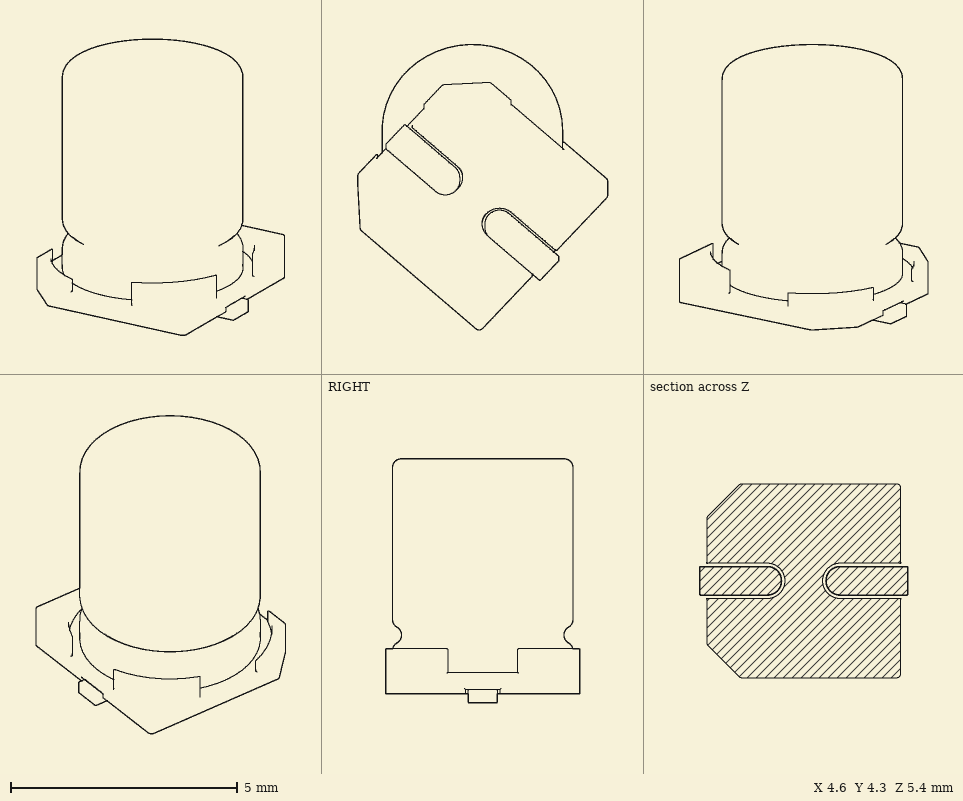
import cadquery as cq
import math

total_height = 5.4
terminal_span = 4.6
base_width = 4.3

can_radius = 2.0
can_top_round = 0.2
groove_radius = 0.2
groove_height = 1.5

base_bottom = 0.2
pocket_floor = 0.675
low_corner_top = 0.955
high_corner_top = 1.2
pocket_radius = 2.25
corner_chamfer = 0.745
upright_round = 0.1
edge_round = 0.02

terminal_width = 0.64
terminal_thickness = 0.3
terminal_round = 0.025
terminal_gap = 0.97
slot_clearance = 0.065

tolerance = 0.0005


def make_can():
    """Revolved can whose groove arc is centred on the can wall and blends into it with equal arcs."""
    blend_rise = math.sqrt(3) * groove_radius
    tangent_rise = blend_rise / 2
    tangent_radius = can_radius - groove_radius / 2
    neck_radius = can_radius - groove_radius
    half_blend_angle = math.radians(30)
    blend_mid_rise = groove_radius * math.sin(half_blend_angle)
    blend_mid_radius = neck_radius + groove_radius * math.cos(half_blend_angle)
    profile = (
        cq.Workplane("XZ")
        .moveTo(0, pocket_floor)
        .lineTo(can_radius, pocket_floor)
        .lineTo(can_radius, groove_height - blend_rise)
        .threePointArc(
            (blend_mid_radius, groove_height - blend_rise + blend_mid_rise),
            (tangent_radius, groove_height - tangent_rise),
        )
        .threePointArc((neck_radius, groove_height), (tangent_radius, groove_height + tangent_rise))
        .threePointArc(
            (blend_mid_radius, groove_height + blend_rise - blend_mid_rise),
            (can_radius, groove_height + blend_rise),
        )
        .lineTo(can_radius, total_height)
        .lineTo(0, total_height)
        .close()
    )
    can = profile.revolve(360, (0, 0, 0), (0, 1, 0))
    return can.faces(">Z").edges().fillet(can_top_round)


def terminal_outline(side, bottom, height, margin):
    """Strip with a full-round inner end, widened by margin, running past the base on one side."""
    half_width = terminal_width / 2 + margin
    inner_end = terminal_gap / 2 - margin
    arc_start = inner_end + half_width
    outer_end = terminal_span / 2
    return (
        cq.Workplane("XY", origin=(0, 0, bottom))
        .moveTo(side * outer_end, -half_width)
        .lineTo(side * arc_start, -half_width)
        .threePointArc((side * inner_end, 0), (side * arc_start, half_width))
        .lineTo(side * outer_end, half_width)
        .close()
        .extrude(height)
    )


def make_terminal(side):
    terminal = terminal_outline(side, 0, terminal_thickness, 0)
    return terminal.edges().fillet(terminal_round)


def is_outside_edge(edge):
    """False for the inside corners along the pocket floor and the slot ceilings."""
    centre = edge.Center()
    on_pocket_floor = abs(centre.z - pocket_floor) < tolerance and edge.geomType() == "CIRCLE"
    on_slot_ceiling = abs(centre.z - terminal_thickness) < tolerance
    at_slot_mouth = abs(abs(centre.x) - base_width / 2) < tolerance
    return not on_pocket_floor and (not on_slot_ceiling or at_slot_mouth)


def make_base():
    """Square base with two cut corners, a round pocket that breaks through its sides and terminal slots."""
    base = (
        cq.Workplane("XY", origin=(0, 0, base_bottom))
        .rect(base_width, base_width)
        .extrude(high_corner_top - base_bottom)
        .edges("|Z and <X")
        .chamfer(corner_chamfer)
        .edges("|Z")
        .fillet(upright_round)
    )
    low_side = (
        cq.Workplane("XY", origin=(-base_width / 2, 0, low_corner_top))
        .rect(base_width, base_width)
        .extrude(high_corner_top - low_corner_top)
    )
    pocket = cq.Workplane("XY", origin=(0, 0, pocket_floor)).circle(pocket_radius).extrude(high_corner_top)
    base = base.cut(low_side).cut(pocket)
    for side in (-1, 1):
        base = base.cut(terminal_outline(side, base_bottom, terminal_thickness - base_bottom, slot_clearance))
    return base.edges().filter(is_outside_edge).fillet(edge_round)


base = make_base()
result = base.union(make_can())
for side in (-1, 1):
    result = result.union(make_terminal(side))